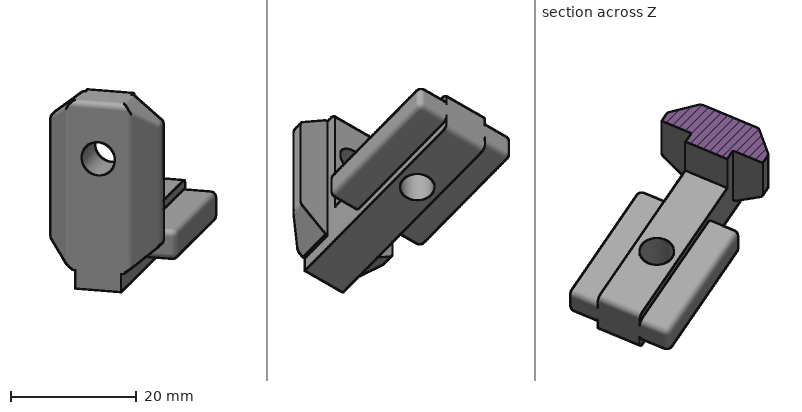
import cadquery as cq

width = 18.25
length = 37.5
height = 31.0
edge_radius = 1.0

bar_width = 7.58
base_thickness = 8.25
upright_thickness = 8.0

head_depth = 6.05
head_bottom = 3.05
bevel_depth = 4.0
bevel_width = 3.9
shoulder_width = 4.95
shoulder_height = 4.0

base_head_start = 13.5
base_head_bottom = 1.8
base_head_top = 6.7

hole_diameter = 5.48
upright_hole_z = 21.8
base_hole_y = 24.68


def make_bar():
    """L-shaped bar with rounded free ends; only the bottom front corner stays sharp."""
    profile = [
        (0, 0),
        (length, 0),
        (length, base_thickness),
        (upright_thickness, base_thickness),
        (upright_thickness, height),
        (0, height),
    ]
    bar = cq.Workplane("YZ").polyline(profile).close().extrude(bar_width / 2, both=True)
    return bar.edges("|X and (>Z or >Y)").fillet(edge_radius)


def make_upright_head():
    """Bevelled head with rounded upper edges and sharp-edged lower shoulders."""
    half = width / 2
    shoulder_x = half - shoulder_width
    upper_z = height - shoulder_height
    lower_z = head_bottom + shoulder_height

    gable = [
        (-half, 0),
        (half, 0),
        (half, upper_z),
        (shoulder_x, height),
        (-shoulder_x, height),
        (-half, upper_z),
    ]
    gabled = cq.Workplane("XZ").polyline(gable).close().extrude(-head_depth)

    plan = [
        (-half, head_depth),
        (-half, bevel_depth),
        (bevel_width - half, 0),
        (half - bevel_width, 0),
        (half, bevel_depth),
        (half, head_depth),
    ]
    bevelled = cq.Workplane("XY").polyline(plan).close().extrude(height)
    head = gabled.intersect(bevelled)
    head = head.edges("not(<Z or >Y or <Y or >Z)").fillet(edge_radius)

    head = head.intersect(gabled.edges("|Y and >Z").fillet(edge_radius))
    head = head.intersect(bevelled.edges("|Z and <Y").fillet(edge_radius))
    envelope = cq.Workplane("XY").box(width, head_depth, height, centered=(True, False, False))
    head = head.intersect(envelope.edges("<Y and >Z").fillet(edge_radius))

    trim = [
        (-half, height),
        (-half, lower_z),
        (-shoulder_x, head_bottom),
        (shoulder_x, head_bottom),
        (half, lower_z),
        (half, height),
    ]
    trimmer = cq.Workplane("XZ").polyline(trim).close().extrude(-head_depth)
    trimmer = trimmer.edges("|Y and (<X or >X) and (not >Z)").fillet(edge_radius)
    return head.intersect(trimmer)


def make_base_head():
    """Flat block with every edge rounded."""
    size_y = length - base_head_start
    size_z = base_head_top - base_head_bottom
    block = cq.Workplane("XY").box(width, size_y, size_z, centered=(True, False, False))
    return block.edges().fillet(edge_radius).translate((0, base_head_start, base_head_bottom))


def make_holes():
    """Screw holes through the upright (along Y) and the base (along Z)."""
    radius = hole_diameter / 2
    upright_hole = (
        cq.Workplane("XZ").center(0, upright_hole_z).circle(radius).extrude(-upright_thickness)
    )
    base_hole = cq.Workplane("XY").center(0, base_hole_y).circle(radius).extrude(base_thickness)
    return upright_hole.union(base_hole)


result = make_bar().union(make_upright_head()).union(make_base_head()).cut(make_holes())